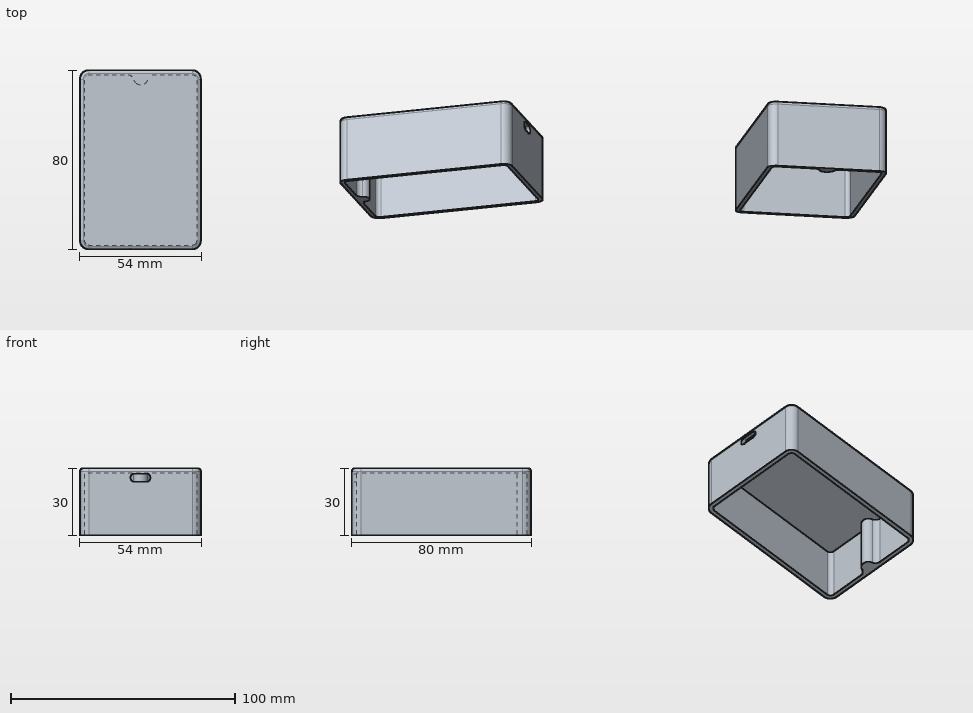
import cadquery as cq
import math

width = 54.0
length = 80.0
height = 30.0
corner_radius = 4.0
top_edge_radius = 1.4
wall = 2.0

slot_width = 9.0
slot_height = 3.7
slot_center_z = 25.8

pillar_radius = 6.5 / 2
pillar_blend_radius = 5.6 / 2
pillar_axis_offset = 1.3
inner_wall_y = length / 2 - wall
pillar_height = height - wall / 2

def rounded_block(size_x, size_y, size_z, radius):
    """Upright block with rounded vertical edges, standing on Z = 0."""
    block = cq.Workplane("XY").box(size_x, size_y, size_z, centered=(True, True, False))
    return block.edges("|Z").fillet(radius)

def make_shell():
    outer = rounded_block(width, length, height, corner_radius)
    outer = outer.faces(">Z").edges().fillet(top_edge_radius)
    cavity = rounded_block(
        width - 2 * wall, length - 2 * wall, height - wall, corner_radius - wall
    )
    return outer.cut(cavity)

def make_slot():
    """Rounded slot cutter that passes through the -Y wall only."""
    return (
        cq.Workplane("XZ", origin=(0, -length / 2 + 2 * wall, slot_center_z))
        .slot2D(slot_width, slot_height)
        .extrude(3 * wall)
    )

def make_pillar():
    """Pillar with concave flanks that run smoothly into the wall."""
    axis_y = inner_wall_y - pillar_axis_offset
    blend_y = inner_wall_y - pillar_blend_radius
    center_distance = pillar_radius + pillar_blend_radius
    blend_x = math.sqrt(center_distance**2 - (axis_y - blend_y) ** 2)

    nose_share = pillar_radius / center_distance
    join_x = blend_x * nose_share
    join_y = axis_y + (blend_y - axis_y) * nose_share
    root_y = inner_wall_y + wall / 2
    return (
        cq.Workplane("XY")
        .moveTo(-blend_x, root_y)
        .lineTo(-blend_x, inner_wall_y)
        .radiusArc((-join_x, join_y), pillar_blend_radius)
        .threePointArc((0, axis_y - pillar_radius), (join_x, join_y))
        .radiusArc((blend_x, inner_wall_y), pillar_blend_radius)
        .lineTo(blend_x, root_y)
        .close()
        .extrude(pillar_height)
    )

result = make_shell().cut(make_slot()).union(make_pillar())